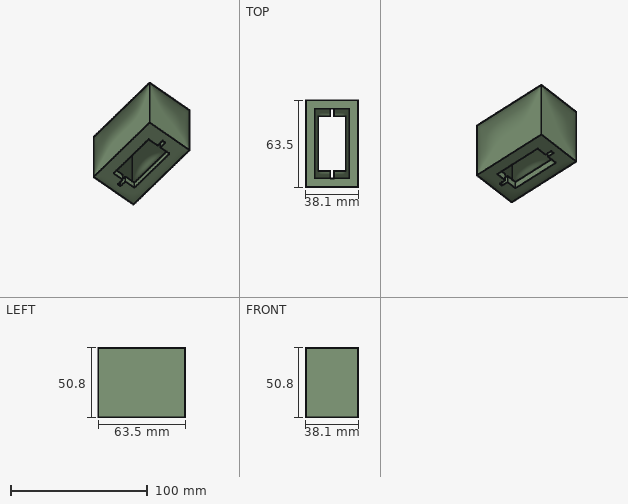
import cadquery as cq

length_x = 38.1
length_y = 63.5
height = 50.8

wall = 6.35
cavity_x = length_x - 2 * wall
cavity_y = length_y - 2 * wall
floor_thickness = wall

ledge_x = 2.78
ledge_y = 2 * ledge_x
window_x = cavity_x - 2 * ledge_x
window_y = cavity_y - 2 * ledge_y

slit_width = 2.54


def rectangular_cutter(size_x, size_y, bottom):
    """Centred box from the given level up to the top of the block."""
    return (
        cq.Workplane("XY")
        .workplane(offset=bottom)
        .rect(size_x, size_y)
        .extrude(height - bottom)
    )


block = cq.Workplane("XY").rect(length_x, length_y).extrude(height)
cavity = rectangular_cutter(cavity_x, cavity_y, floor_thickness)
window = rectangular_cutter(window_x, window_y, 0)
slit = rectangular_cutter(slit_width, cavity_y, 0)

result = block.cut(cavity).cut(window).cut(slit)